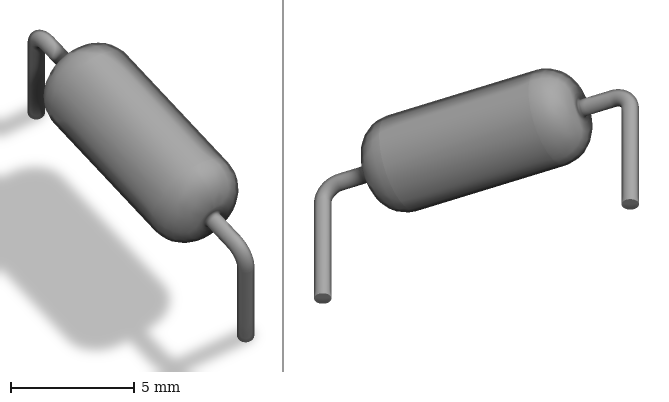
import cadquery as cq
import math

overall_length = 14.69
overall_height = 7.65

body_radius = 2.03
body_length = 9.55
end_round = 1.38
neck_fillet = 0.09

wire_radius = 0.35
bend_radius = 0.8
joint_x = 5.9

body_end_x = body_length / 2
neck_end_x = body_end_x + neck_fillet
leg_x = overall_length / 2 - wire_radius
leg_bottom_z = body_radius - overall_height

diagonal = math.sqrt(0.5)


def make_body():
    """Cylinder with rounded ends and a small filleted neck at each end face."""
    round_x = body_end_x - end_round
    face_radius = body_radius - end_round
    neck_base_radius = wire_radius + neck_fillet
    round_mid_x = round_x + end_round * diagonal
    round_mid_z = face_radius + end_round * diagonal
    fillet_mid_x = neck_end_x - neck_fillet * diagonal
    fillet_mid_z = neck_base_radius - neck_fillet * diagonal
    profile = (
        cq.Workplane("XZ")
        .moveTo(-neck_end_x, 0)
        .lineTo(-neck_end_x, wire_radius)
        .threePointArc((-fillet_mid_x, fillet_mid_z), (-body_end_x, neck_base_radius))
        .lineTo(-body_end_x, face_radius)
        .threePointArc((-round_mid_x, round_mid_z), (-round_x, body_radius))
        .lineTo(round_x, body_radius)
        .threePointArc((round_mid_x, round_mid_z), (body_end_x, face_radius))
        .lineTo(body_end_x, neck_base_radius)
        .threePointArc((fillet_mid_x, fillet_mid_z), (neck_end_x, wire_radius))
        .lineTo(neck_end_x, 0)
        .close()
    )
    return profile.revolve(360, (0, 0, 0), (1, 0, 0))


def make_stub(side):
    """Straight wire from the neck to the lead; side is -1 or 1 along X."""
    return (
        cq.Workplane("YZ", origin=(side * neck_end_x, 0, 0))
        .circle(wire_radius)
        .extrude(side * (joint_x - neck_end_x))
    )


def make_lead(side):
    """Wire that runs outward from the stub, bends down and ends in a straight leg."""
    bend_start_x = leg_x - bend_radius
    bend_mid_x = bend_start_x + bend_radius * diagonal
    bend_mid_z = bend_radius * (diagonal - 1)
    path = (
        cq.Workplane("XZ")
        .moveTo(side * joint_x, 0)
        .lineTo(side * bend_start_x, 0)
        .threePointArc((side * bend_mid_x, bend_mid_z), (side * leg_x, -bend_radius))
        .lineTo(side * leg_x, leg_bottom_z)
    )
    section = cq.Workplane("YZ", origin=(side * joint_x, 0, 0)).circle(wire_radius)
    return section.sweep(path)


body = make_body()
stubs = []
leads = []
for end_side in (-1, 1):
    stubs.append(make_stub(end_side).val())
    leads.append(make_lead(end_side).val())

result = cq.Compound.makeCompound([body.val(), *stubs, *leads])